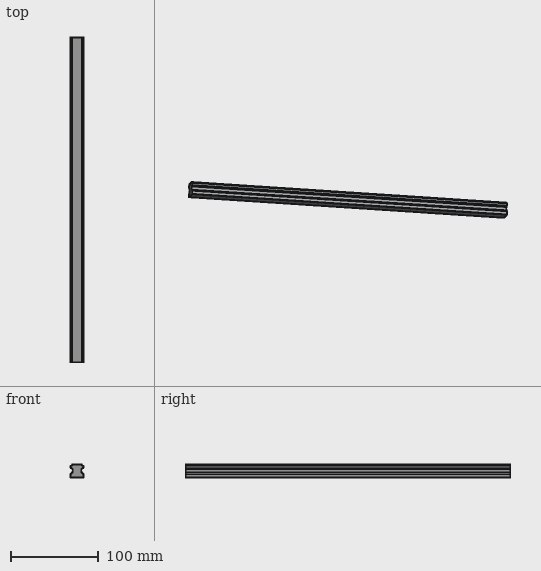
import cadquery as cq

rail_length = 370.0
rail_width = 15.0
rail_height = 15.0

foot_chamfer = 0.5
base_side_height = 4.0
slope_top_height = 6.0

waist_width = 10.0
waist_ease = 0.2
waist_wall_bottom = 7.3
waist_wall_top = 8.6

head_side_bottom = 11.7
head_side_top = 12.6
head_bevel_height = 0.9
head_bevel_depth = 0.2

top_face_width = 10.6
top_land_height = 0.2

lower_groove_root_height = 9.6
lower_groove_sag = 0.3
upper_groove_sag = 0.5

half_width = rail_width / 2
half_waist = waist_width / 2
half_top = top_face_width / 2


def sagged_midpoint(start, end, sag):
    """Middle point of an arc bowed to the left of the direction from start to end."""
    dx = end[0] - start[0]
    dz = end[1] - start[1]
    chord = (dx**2 + dz**2) ** 0.5
    return (
        (start[0] + end[0]) / 2 - sag * dz / chord,
        (start[1] + end[1]) / 2 + sag * dx / chord,
    )


def make_half_profile():
    """Outline of the +X half of the cross-section, from the bottom centre up to the top centre."""
    eased_waist = half_waist + waist_ease
    bevelled_side = half_width - head_bevel_depth
    lower_groove_start = (eased_waist, lower_groove_root_height)
    lower_groove_end = (bevelled_side, head_side_bottom - head_bevel_height)
    upper_groove_start = (bevelled_side, head_side_top + head_bevel_height)
    upper_groove_end = (half_top, rail_height - top_land_height)
    lower_groove_mid = sagged_midpoint(lower_groove_start, lower_groove_end, lower_groove_sag)
    upper_groove_mid = sagged_midpoint(upper_groove_start, upper_groove_end, upper_groove_sag)
    return (
        cq.Workplane("XZ")
        .moveTo(0, 0)
        .lineTo(half_width - foot_chamfer, 0)
        .lineTo(half_width, foot_chamfer)
        .lineTo(half_width, base_side_height)
        .lineTo(eased_waist, slope_top_height)
        .lineTo(half_waist, waist_wall_bottom)
        .lineTo(half_waist, waist_wall_top)
        .lineTo(*lower_groove_start)
        .threePointArc(lower_groove_mid, lower_groove_end)
        .lineTo(half_width, head_side_bottom)
        .lineTo(half_width, head_side_top)
        .lineTo(*upper_groove_start)
        .threePointArc(upper_groove_mid, upper_groove_end)
        .lineTo(half_top, rail_height)
        .lineTo(0, rail_height)
        .close()
    )


def make_rail():
    half_rail = make_half_profile().extrude(rail_length / 2, both=True)
    return half_rail.union(half_rail.mirror("YZ")).clean()


result = make_rail()